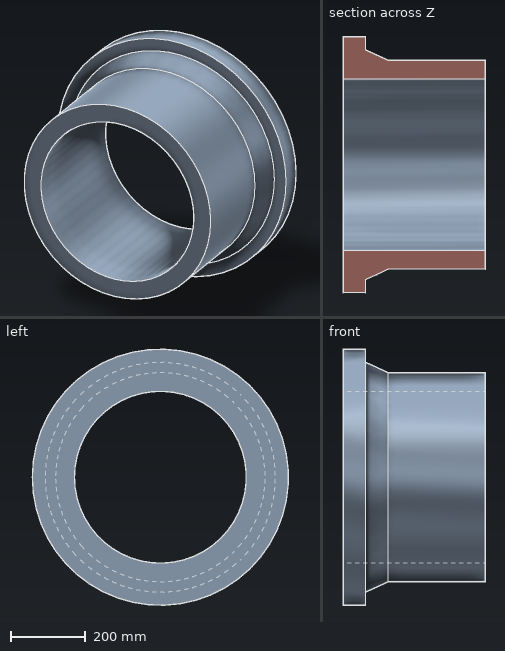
import cadquery as cq

total_length = 380.0
bore_diameter = 458.4
pipe_diameter = 560.0
flange_diameter = 685.0
flange_thickness = 60.0
cone_length = 60.0
cone_base_diameter = 615.0

bore_radius = bore_diameter / 2
pipe_radius = pipe_diameter / 2
flange_radius = flange_diameter / 2
cone_base_radius = cone_base_diameter / 2

cone_end = flange_thickness + cone_length


def stub_end():
    """Flange, tapered neck and pipe revolved as one half section."""
    half_section = (
        cq.Workplane("XY")
        .moveTo(0, bore_radius)
        .lineTo(0, flange_radius)
        .lineTo(flange_thickness, flange_radius)
        .lineTo(flange_thickness, cone_base_radius)
        .lineTo(cone_end, pipe_radius)
        .lineTo(total_length, pipe_radius)
        .lineTo(total_length, bore_radius)
        .close()
    )
    return half_section.revolve(360, (0, 0, 0), (1, 0, 0))


result = stub_end()